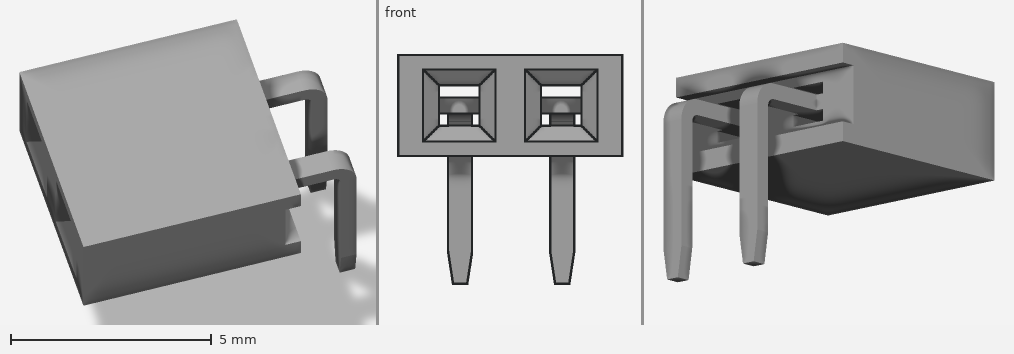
import cadquery as cq

body_width = 5.58
body_height = 2.52
body_length = 5.65
recess_height = 1.505
recess_depth = 0.4
recess_floor = body_length - recess_depth

pitch = 2.54
socket_size = 1.0
mouth_chamfer = 0.4
mouth_size = socket_size + 2 * mouth_chamfer

overall_length = 7.45
overall_height = 5.7
pin_width = 0.6
pin_thickness = 0.4
pin_offset = 0.02
outer_bend_radius = 0.6
inner_bend_radius = outer_bend_radius - pin_thickness
tip_width = 0.36
tip_length = 0.8
tip_z = body_height / 2 - overall_height

plate_length = 1.0
wall_bite = 0.075
plate_width = socket_size + 2 * wall_bite

socket_centers = [-pitch / 2, pitch / 2]


def make_housing():
    """Block with a slot across its rear face."""
    block = cq.Workplane("XY").box(body_width, body_length, body_height)
    block = block.translate((0, body_length / 2, 0))
    recess = cq.Workplane("XY").box(body_width, recess_depth, recess_height)
    return block.cut(recess.translate((0, body_length - recess_depth / 2, 0)))


def make_socket(x):
    """Square through hole with a funnel-shaped mouth."""
    hole = (
        cq.Workplane("XZ", origin=(x, 0, 0))
        .rect(socket_size, socket_size)
        .extrude(-body_length)
    )
    funnel = (
        cq.Workplane("XZ", origin=(x, 0, 0))
        .rect(mouth_size, mouth_size)
        .workplane(offset=-mouth_chamfer)
        .rect(socket_size, socket_size)
        .loft(ruled=True)
    )
    return hole.union(funnel)


def make_plate(x):
    """Contact plate at the rear end of a socket."""
    plate = cq.Workplane("XY").box(plate_width, plate_length, pin_thickness)
    return plate.translate((x, recess_floor - plate_length / 2, 0))


def make_pin(x):
    """Pin that leaves the plate rearward, bends down and ends in a tapered tip."""
    half_thickness = pin_thickness / 2
    side = (
        cq.Workplane("YZ", origin=(x, 0, 0))
        .moveTo(recess_floor - plate_length, half_thickness)
        .lineTo(overall_length - outer_bend_radius, half_thickness)
        .radiusArc((overall_length, half_thickness - outer_bend_radius), outer_bend_radius)
        .lineTo(overall_length, tip_z)
        .lineTo(overall_length - pin_thickness, tip_z)
        .lineTo(overall_length - pin_thickness, -half_thickness - inner_bend_radius)
        .radiusArc((overall_length - outer_bend_radius, -half_thickness), -inner_bend_radius)
        .lineTo(recess_floor - plate_length, -half_thickness)
        .close()
        .extrude(pin_width / 2, both=True)
    )
    front = (
        cq.Workplane("XZ", origin=(x, 0, 0))
        .moveTo(-tip_width / 2, tip_z)
        .lineTo(tip_width / 2, tip_z)
        .lineTo(pin_width / 2, tip_z + tip_length)
        .lineTo(pin_width / 2, half_thickness)
        .lineTo(-pin_width / 2, half_thickness)
        .lineTo(-pin_width / 2, tip_z + tip_length)
        .close()
        .extrude(-overall_length)
    )
    return side.intersect(front)


result = make_housing()
for socket_x in socket_centers:
    result = result.cut(make_socket(socket_x))
    result = result.union(make_plate(socket_x))
    result = result.union(make_pin(socket_x + pin_offset))